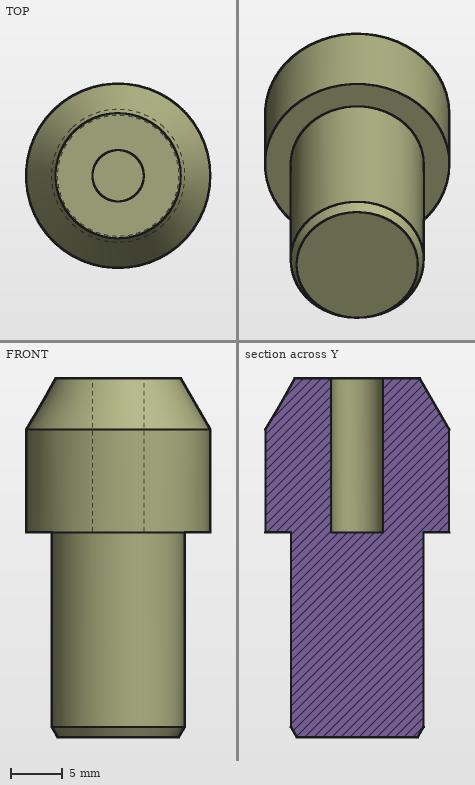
import cadquery as cq
import math

total_height = 35.0
head_diameter = 18.0
shank_diameter = 13.0
hole_diameter = 5.0
shank_length = 20.0
nose_height = 5.0
foot_chamfer_height = 1.0
taper_angle = 30.0

head_radius = head_diameter / 2
shank_radius = shank_diameter / 2
taper_slope = math.tan(math.radians(taper_angle))
nose_radius = head_radius - nose_height * taper_slope
foot_radius = shank_radius - foot_chamfer_height * taper_slope
hole_depth = total_height - shank_length


def make_body():
    """Revolve the stepped pin about Z, standing on its foot at Z = 0."""
    half_profile = [
        (0, 0),
        (foot_radius, 0),
        (shank_radius, foot_chamfer_height),
        (shank_radius, shank_length),
        (head_radius, shank_length),
        (head_radius, total_height - nose_height),
        (nose_radius, total_height),
        (0, total_height),
    ]
    return cq.Workplane("XZ").polyline(half_profile).close().revolve(360, (0, 0), (0, 1))


def drill_nose(body):
    """Drill the flat-bottomed hole down from the nose."""
    return body.faces(">Z").workplane(origin=(0, 0, total_height)).hole(hole_diameter, hole_depth)


result = drill_nose(make_body())